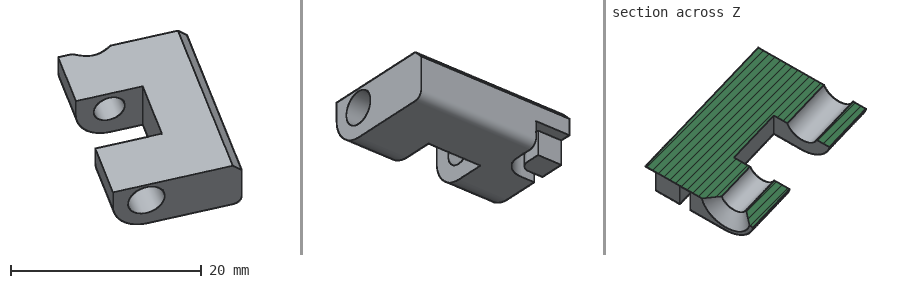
import cadquery as cq

length_x = 20.0
depth_y = 14.1
height_z = 6.0

front_bottom_radius = 3.75
rear_bottom_radius = 1.0
rear_top_chamfer = 1.0

leg_width = 6.5
gap_depth = 7.3

bore_y = 3.65
bore_z = 3.65
left_bore_diameter = 3.4
right_bore_diameter = 4.0
countersink_diameter = 6.3
countersink_depth = (countersink_diameter - left_bore_diameter) / 2

channel_width = 1.35
channel_height = 3.0
channel_front_y = 8.25
post_rear_y = depth_y - channel_width
post_front_y = channel_front_y + channel_width
post_length = post_rear_y - post_front_y
post_corner_radius = channel_width
channel_length = post_length + channel_width
channel_corner_radius = post_corner_radius + channel_width


def make_box(x_range, y_range, z_range):
    """Box spanning the given (low, high) ranges."""
    x_low, x_high = x_range
    y_low, y_high = y_range
    z_low, z_high = z_range
    box = cq.Workplane("XY").box(x_high - x_low, y_high - y_low, z_high - z_low, centered=False)
    return box.translate((x_low, y_low, z_low))


def make_body():
    """Side profile extruded over the full length."""
    return (
        cq.Workplane("YZ")
        .moveTo(front_bottom_radius, 0)
        .lineTo(depth_y - rear_bottom_radius, 0)
        .radiusArc((depth_y, rear_bottom_radius), -rear_bottom_radius)
        .lineTo(depth_y, height_z - rear_top_chamfer)
        .lineTo(depth_y - rear_top_chamfer, height_z)
        .lineTo(0, height_z)
        .lineTo(0, front_bottom_radius)
        .radiusArc((front_bottom_radius, 0), -front_bottom_radius)
        .close()
        .extrude(length_x)
    )


def make_gap():
    """Opening between the legs, through the full height."""
    return make_box((leg_width, length_x - leg_width), (0, gap_depth), (0, height_z))


def make_bore(start_x, diameter):
    """Bore along X through one leg."""
    plane = cq.Workplane("YZ", origin=(start_x, bore_y, bore_z))
    return plane.circle(diameter / 2).extrude(leg_width)


def make_countersink():
    """Cone at the outer end of the left bore."""
    cone = cq.Solid.makeCone(
        countersink_diameter / 2,
        left_bore_diameter / 2,
        countersink_depth,
        cq.Vector(0, bore_y, bore_z),
        cq.Vector(1, 0, 0),
    )
    return cq.Workplane(cone)


def make_channel():
    """Corner pocket with a rounded inner corner, less the post standing in it."""
    pocket = make_box((0, channel_length), (channel_front_y, depth_y), (0, channel_height))
    pocket = pocket.edges("|Z and >X and <Y").fillet(channel_corner_radius)
    post = make_box((0, post_length), (post_front_y, post_rear_y), (0, channel_height))
    post = post.edges("|Z and >X and <Y").fillet(post_corner_radius)
    return pocket.cut(post)


result = (
    make_body()
    .cut(make_gap())
    .cut(make_bore(0, left_bore_diameter))
    .cut(make_bore(length_x - leg_width, right_bore_diameter))
    .cut(make_countersink())
    .cut(make_channel())
)